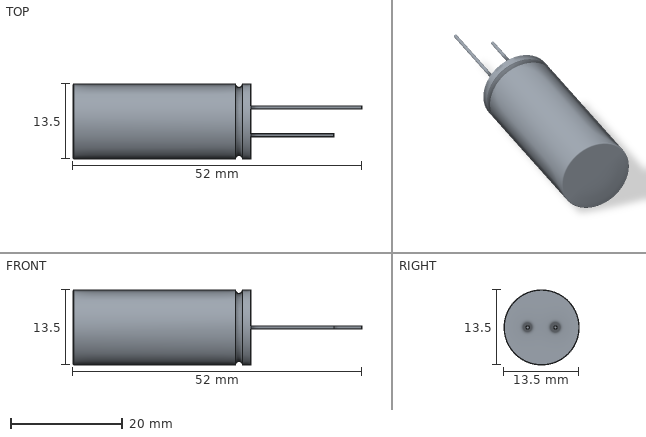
import cadquery as cq

can_diameter = 13.5
can_radius = can_diameter / 2
can_length = 32.0
closed_end_fillet = 0.2

bead_radius = 0.6
bead_center_x = 29.85

overall_length = 52.0
lead_radius = 0.3
lead_pitch = 5.0
long_lead_length = overall_length - can_length
short_lead_length = 15.0


def make_can():
    """Revolve the half outline of the can, with its bead, about the X axis."""
    outline = (
        cq.Workplane("XZ")
        .moveTo(0, 0)
        .lineTo(0, can_radius)
        .lineTo(bead_center_x - bead_radius, can_radius)
        .threePointArc(
            (bead_center_x, can_radius - bead_radius),
            (bead_center_x + bead_radius, can_radius),
        )
        .lineTo(can_length, can_radius)
        .lineTo(can_length, 0)
        .close()
    )
    can = outline.revolve(360, (0, 0, 0), (1, 0, 0))
    return can.faces("<X").edges().fillet(closed_end_fillet)


def make_lead(center_y, length):
    """Make one straight wire that starts on the open end of the can."""
    return (
        cq.Workplane("YZ", origin=(can_length, center_y, 0))
        .circle(lead_radius)
        .extrude(length)
    )


can = make_can()

leads = []
for side, length in ((1, long_lead_length), (-1, short_lead_length)):
    leads.append(make_lead(side * lead_pitch / 2, length).val())

result = cq.Compound.makeCompound([can.val(), *leads])